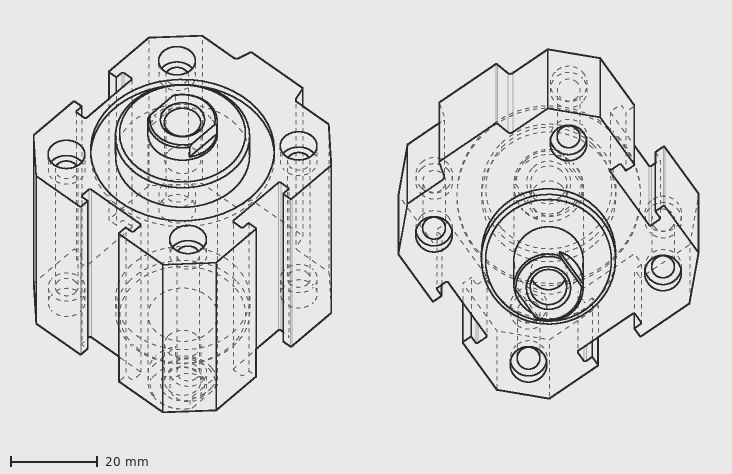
import cadquery as cq

block_width = 57.0
block_height = 53.5
corner_chamfer = 8.7
half_width = block_width / 2

tab_rise = 4.0
tab_top_width = 16.2
tab_base_width = 18.3
tab_root_radius = 1.0
tab_tip_radius = 0.3

slot_mouth_width = 11.8
slot_inner_width = 16.1
slot_depth = 5.5
slot_lip = 2.5
slot_corner_radius = 0.4
slot_mouth_radius = 0.2

boss_diameter = 31.0
boss_height = 6.0
boss_chamfer = 1.0
recess_diameter = 42.5
recess_depth = 2.0

hole_spacing = 38.0
hole_diameter = 5.3
counterbore_diameter = 8.5
counterbore_depth = 5.5

rod_diameter = 16.0
rod_length = 95.5
rod_top_reach = 5.0
rod_end_chamfer = 0.5
flat_width = 13.0
flat_length = 4.0
thread_diameter = 8.4
thread_mouth_diameter = 10.2
thread_depth = 14.3

rod_top = block_height + boss_height + rod_top_reach
rod_bottom = rod_top - rod_length


def round_upright_edges(solid, x, y, radius):
    """Fillet the two upright edges at (x, y) and (-x, y)."""
    for side in (-1, 1):
        edge = cq.selectors.NearestToPointSelector((side * x, y, block_height / 2))
        solid = solid.edges(edge).fillet(radius)
    return solid


def make_block():
    """Square block with chamfered corners and a tapered, rounded tab on its +Y side."""
    tab_top = half_width + tab_rise
    block = (
        cq.Workplane("XY")
        .rect(block_width, block_width)
        .extrude(block_height)
        .edges("|Z")
        .chamfer(corner_chamfer)
    )
    tab = (
        cq.Workplane("XY")
        .moveTo(-tab_base_width / 2, 0)
        .lineTo(-tab_base_width / 2, half_width)
        .lineTo(-tab_top_width / 2, tab_top)
        .lineTo(tab_top_width / 2, tab_top)
        .lineTo(tab_base_width / 2, half_width)
        .lineTo(tab_base_width / 2, 0)
        .close()
        .extrude(block_height)
    )
    block = block.union(tab)
    block = round_upright_edges(block, tab_base_width / 2, half_width, tab_root_radius)
    return round_upright_edges(block, tab_top_width / 2, tab_top, tab_tip_radius)


def make_slot_cutter():
    """T-shaped bar that cuts the slot in the -Y side."""
    inner_height = slot_depth - slot_lip
    inner = (
        cq.Workplane("XY")
        .center(0, -half_width + slot_lip + inner_height / 2)
        .rect(slot_inner_width, inner_height)
        .extrude(block_height)
        .edges("|Z")
        .fillet(slot_corner_radius)
    )
    mouth = (
        cq.Workplane("XY")
        .center(0, -half_width + slot_depth / 2)
        .rect(slot_mouth_width, slot_depth)
        .extrude(block_height)
    )
    return inner.union(mouth)


def cut_slots(block):
    """Cut the -X, -Y and +X slots and round the outer edges of their mouths."""
    slot = make_slot_cutter()
    for angle in (-90, 0, 90):
        block = block.rotate((0, 0, 0), (0, 0, 1), angle).cut(slot)
        block = round_upright_edges(block, slot_mouth_width / 2, -half_width, slot_mouth_radius)
        block = block.rotate((0, 0, 0), (0, 0, 1), -angle)
    return block


def make_boss():
    """Boss standing on z = 0 with a chamfered rim."""
    boss = cq.Workplane("XY").circle(boss_diameter / 2).extrude(boss_height)
    return boss.faces(">Z").chamfer(boss_chamfer)


def make_housing():
    """Block with slots, recess, mounting holes, both bosses and the bore for the rod."""
    housing = cut_slots(make_block())
    recess = (
        cq.Workplane("XY")
        .workplane(offset=block_height - recess_depth)
        .circle(recess_diameter / 2)
        .circle(boss_diameter / 2)
        .extrude(recess_depth)
    )
    housing = housing.cut(recess)
    for face in (">Z", "<Z"):
        housing = (
            housing.faces(face)
            .workplane(origin=(0, 0, 0))
            .rect(hole_spacing, hole_spacing, forConstruction=True)
            .vertices()
            .cboreHole(hole_diameter, counterbore_diameter, counterbore_depth)
        )

    top_boss = make_boss().translate((0, 0, block_height))
    bottom_boss = make_boss().mirror("XY")
    rod_bore = cq.Workplane("XY").workplane(offset=rod_bottom).circle(rod_diameter / 2).extrude(rod_length)
    return housing.union(top_boss).union(bottom_boss).cut(rod_bore)


def make_rod_end_cutter():
    """Wrench flats and threaded hole for a rod end at z = 0, cutting downwards."""
    flats = (
        cq.Workplane("XY")
        .rect(rod_diameter, rod_diameter)
        .rect(flat_width, rod_diameter)
        .extrude(-flat_length)
    )
    mouth_chamfer = (thread_mouth_diameter - thread_diameter) / 2
    hole = (
        cq.Workplane("XZ")
        .lineTo(thread_mouth_diameter / 2, 0)
        .lineTo(thread_diameter / 2, -mouth_chamfer)
        .lineTo(thread_diameter / 2, -thread_depth)
        .lineTo(0, -thread_depth)
        .close()
        .revolve(360, (0, 0, 0), (0, 1, 0))
    )
    return flats.union(hole)


def make_rod():
    """Round rod with chamfered ends, each with wrench flats and a threaded hole."""
    rod = (
        cq.Workplane("XY")
        .workplane(offset=rod_bottom)
        .circle(rod_diameter / 2)
        .extrude(rod_length)
        .faces("<Z or >Z")
        .chamfer(rod_end_chamfer)
    )
    end_cutter = make_rod_end_cutter()
    rod = rod.cut(end_cutter.translate((0, 0, rod_top)))
    return rod.cut(end_cutter.mirror("XY").translate((0, 0, rod_bottom)))


housing = make_housing()
rod = make_rod()
result = cq.Compound.makeCompound([housing.solids().val(), rod.solids().val()])